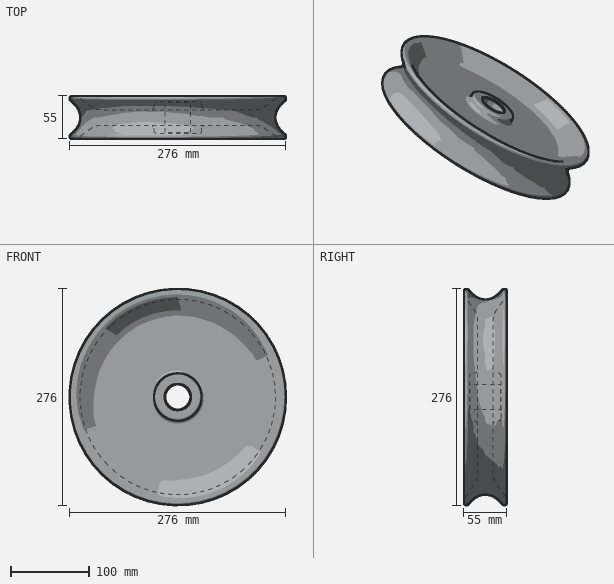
import cadquery as cq
import math

rim_radius = 138.0
width = 55.0
half_width = width / 2

lip_radius = 3.3
flank_arc_radius = 56.5
flank_outer_slope = math.radians(50)
flank_inner_slope = math.radians(40)

web_half_thickness = 10.0
web_radius = 98.8
web_fillet_radius = 20.0
wall_edge_radius = 10.0
wall_angle = math.radians(35)
rim_face_inner_radius = 132.7

hub_half_width = 20.1
hub_radius = 30.4
hub_fillet_radius = 5.0
hub_edge_radius = 3.0
bore_radius = 16.0
bore_chamfer = 0.8


def on_arc(center, radius, angle):
    """Point on a circle, with the angle measured from the radial direction towards +Y."""
    return center[0] + radius * math.cos(angle), center[1] + radius * math.sin(angle)


def half_profile():
    """Radial section of the +Y half, as (radius, y) points."""
    quarter = math.pi / 2
    eighth = math.pi / 4
    hub_fillet = (hub_radius + hub_fillet_radius, web_half_thickness + hub_fillet_radius)
    hub_edge = (hub_radius - hub_edge_radius, hub_half_width - hub_edge_radius)
    web_fillet = (web_radius, web_half_thickness + web_fillet_radius)
    wall_edge = (rim_face_inner_radius, half_width - wall_edge_radius)
    lip = (rim_radius - lip_radius, half_width - lip_radius)

    lip_end = on_arc(lip, lip_radius, -flank_outer_slope)
    flank = on_arc(lip_end, flank_arc_radius, -flank_outer_slope)
    flank_end = on_arc(flank, flank_arc_radius, math.pi - flank_inner_slope)
    groove_arc_radius = flank_end[1] / math.sin(flank_inner_slope)
    groove = on_arc(flank_end, groove_arc_radius, -flank_inner_slope)
    flank_middle_slope = (flank_outer_slope + flank_inner_slope) / 2

    return (
        cq.Workplane("XY")
        .moveTo(bore_radius, 0)
        .lineTo(bore_radius, hub_half_width - bore_chamfer)
        .lineTo(bore_radius + bore_chamfer, hub_half_width)
        .lineTo(hub_edge[0], hub_half_width)
        .threePointArc(on_arc(hub_edge, hub_edge_radius, eighth), on_arc(hub_edge, hub_edge_radius, 0))
        .lineTo(hub_radius, hub_fillet[1])
        .threePointArc(
            on_arc(hub_fillet, hub_fillet_radius, math.pi + eighth),
            on_arc(hub_fillet, hub_fillet_radius, -quarter),
        )
        .lineTo(web_radius, web_half_thickness)
        .threePointArc(
            on_arc(web_fillet, web_fillet_radius, -quarter + wall_angle / 2),
            on_arc(web_fillet, web_fillet_radius, -quarter + wall_angle),
        )
        .lineTo(*on_arc(wall_edge, wall_edge_radius, quarter + wall_angle))
        .threePointArc(
            on_arc(wall_edge, wall_edge_radius, quarter + wall_angle / 2),
            on_arc(wall_edge, wall_edge_radius, quarter),
        )
        .lineTo(lip[0], half_width)
        .threePointArc(on_arc(lip, lip_radius, 0), lip_end)
        .threePointArc(on_arc(flank, flank_arc_radius, math.pi - flank_middle_slope), flank_end)
        .threePointArc(
            on_arc(groove, groove_arc_radius, math.pi - flank_inner_slope / 2),
            (groove[0] - groove_arc_radius, 0),
        )
    )


section = half_profile().mirrorX()
result = section.revolve(360, (0, 0, 0), (0, 1, 0))